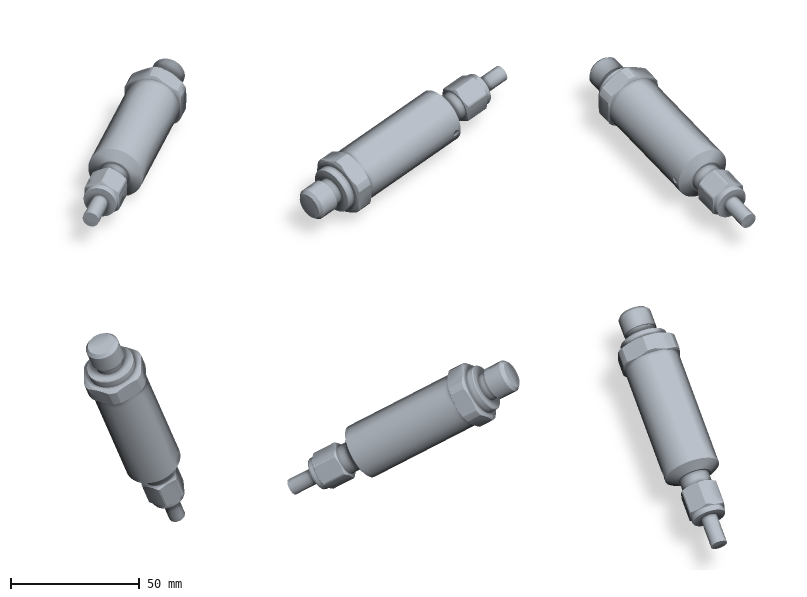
import cadquery as cq

total_length = 103.5
tip_chamfer_end = 1.3
thread_end = 8.5
relief_end = 9.7
collar_start = 11.9
hex_start = 15.1
hex_end = 22.6
body_end = 70.9
cone_end = 73.5
nut_start = 78.3
nut_end = 89.3
nut_rim_chamfer_start = 90.9
nut_rim_end = 91.5

tip_diameter = 10.8
thread_diameter = 13.1
relief_diameter = 12.0
thread_neck_diameter = 11.2
collar_diameter = 18.8
collar_face_diameter = 18.4
body_diameter = 22.1
cone_small_diameter = 13.9
cable_neck_diameter = 12.0
nut_rim_diameter = 13.6
nut_rim_face_diameter = 13.1
cable_diameter = 6.5

hex_flats = 23.0
hex_corner_diameter = 24.9
hex_face_diameter = 22.3
nut_flats = 14.1
nut_corner_diameter = 15.8
nut_face_diameter = 13.6
collar_chamfer = 0.3
hex_chamfer = 0.6
nut_chamfer = 0.6

vent_station = 68.4
vent_diameter = 2.7
vent_depth = 1.0

tip_y = total_length / 2


def turned(profile):
    """Revolve (station, diameter) pairs about the Y axis."""
    outline = [(diameter / 2, tip_y - station) for station, diameter in profile]
    first_y = outline[0][1]
    last_y = outline[-1][1]
    points = [(0, first_y)] + outline + [(0, last_y)]
    return cq.Workplane("XY").polyline(points).close().revolve(360, (0, 0), (0, 1))


def hexagon(start, end, flats, corner_diameter, face_diameter, chamfer):
    """Hexagonal prism with flats on +/-X, turned corners and chamfered ends."""
    prism = (
        cq.Workplane("XZ", origin=(0, tip_y - start, 0))
        .polygon(6, flats, circumscribed=True)
        .extrude(end - start)
    )
    envelope = turned([
        (start, face_diameter),
        (start + chamfer, corner_diameter),
        (end - chamfer, corner_diameter),
        (end, face_diameter),
    ])
    return prism.intersect(envelope)


core = turned([
    (0, tip_diameter),
    (tip_chamfer_end, thread_diameter),
    (thread_end, thread_diameter),
    (thread_end, relief_diameter),
    (relief_end, thread_neck_diameter),
    (collar_start, thread_neck_diameter),
    (collar_start, collar_face_diameter),
    (collar_start + collar_chamfer, collar_diameter),
    (hex_start, collar_diameter),
    (hex_start, body_diameter),
    (body_end, body_diameter),
    (cone_end, cone_small_diameter),
    (cone_end, cable_neck_diameter),
    (nut_end, cable_neck_diameter),
    (nut_end, nut_rim_diameter),
    (nut_rim_chamfer_start, nut_rim_diameter),
    (nut_rim_end, nut_rim_face_diameter),
    (nut_rim_end, cable_diameter),
    (total_length, cable_diameter),
])

body_hex = hexagon(hex_start, hex_end, hex_flats, hex_corner_diameter, hex_face_diameter, hex_chamfer)
cable_nut = hexagon(nut_start, nut_end, nut_flats, nut_corner_diameter, nut_face_diameter, nut_chamfer)

vent = (
    cq.Workplane("YZ", origin=(-body_diameter / 2, tip_y - vent_station, 0))
    .circle(vent_diameter / 2)
    .extrude(vent_depth)
)

result = core.union(body_hex).union(cable_nut).cut(vent)